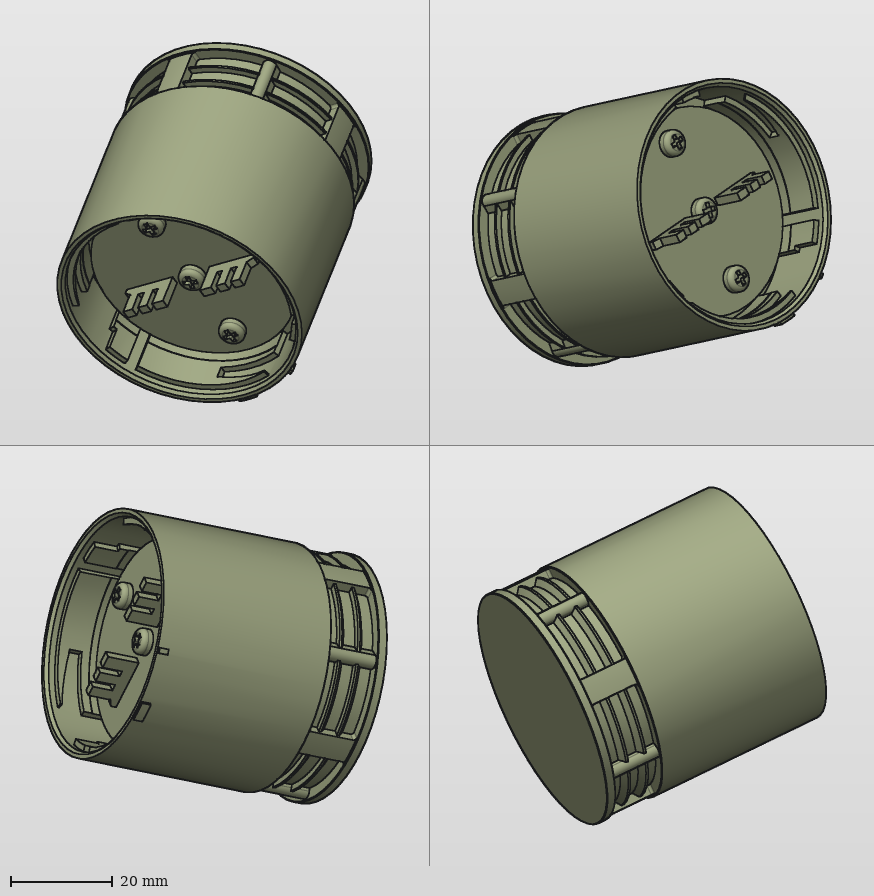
import cadquery as cq
import math

LENGTH = 50.0
OUTER_R = 25.0
CLOCKING = 33.2
EDGE_CHAMFER = 0.15

RIM_R = 24.15
RIM_TAPER_DEPTH = 0.75
CUP_R = 23.55
FLOOR_DEPTH = 9.85
FLOOR_DISC_R = 20.9
MOAT_DEPTH = 13.5

TAB_COUNT = 3
TAB_R = 22.3
TAB_BASE_R = 22.4
TAB_FRONT = 2.1
TAB_FOOT = 9.1
LONG_TAB_START = 6.0
LONG_TAB_END = 80.5
SHORT_TAB_START = 106.0
SHORT_TAB_END = 120.0
TAB_END_STEP = 2.3
GROOVE_MOUTH = 2.45
GROOVE_FRONT = 4.5
GROOVE_BACK = 7.2
GROOVE_ANGLE = 33.0

MARK_R = 25.6
MARK_SPANS = [(-28.0, -25.5), (-61.4, -52.0)]
MARK_FRONT = 0.15
MARK_LENGTH = 2.0

SLEEVE_LENGTH = 37.5
FLANGE_THICKNESS = 2.0
CAGE_CORE_R = 22.6
POST_COUNT = 4
WIDE_POST_R = 24.55
WIDE_POST_WIDTH = 5.45
POST_CORNER_R = 0.6
ROUND_POST_R = 1.45
ROUND_POST_CENTRE = 23.15
FLARE_TOP_RADIUS = 23.9
FLARE_TOP_OFFSET = 1.25
FLARE_FOOT_OFFSET = 2.3
RIB_R = 23.9
RIB_EDGE = 0.5
RIB_SLOPE = 1.05
RIB_FRONTS = [39.95, 44.0]

BLADE_START = 4.5
BLADE_END = 15.65
BLADE_THICKNESS = 1.7
PRONG_TIP = 3.0
NOTCH_DEPTH = 7.35
NOTCH_SPANS = [(7.2, 8.45), (10.6, 12.0)]
PRONG_END = 14.2
SHOULDER_DEPTH = 7.95
SHOULDER_END_DEPTH = 8.75

SCREW_OFFSET = 15.0
HEAD_R = 2.65
HEAD_HEIGHT = 2.3
HEAD_FLAT_R = 1.7
HEAD_SIDE = 1.1
CROSS_LENGTH = 3.0
CROSS_WIDTH = 0.85
CROSS_DEPTH = 1.0
CROSS_FILLET = 0.25
CROSS_TURNS = {-1: 37.0, 0: 22.0, 1: 37.0}


def plane_at(depth):
    """Workplane parallel to XZ at Y = depth; extrude with a negative length to go back."""
    return cq.Workplane("XZ", origin=(0, depth, 0))


def polar(radius, angle):
    turn = math.radians(angle)
    return (radius * math.cos(turn), radius * math.sin(turn))


def disc(radius, front, back):
    return plane_at(front).circle(radius).extrude(front - back)


def sector(inner_r, outer_r, start, end, front, back):
    """Ring segment between two radii, two angles and two depths."""
    middle = (start + end) / 2
    return (
        plane_at(front)
        .moveTo(*polar(inner_r, start))
        .lineTo(*polar(outer_r, start))
        .threePointArc(polar(outer_r, middle), polar(outer_r, end))
        .lineTo(*polar(inner_r, end))
        .threePointArc(polar(inner_r, middle), polar(inner_r, start))
        .close()
        .extrude(front - back)
    )


def turn_about_y(shape, angle):
    """Turn a shape so that +X moves toward +Z."""
    return shape.rotate((0, 0, 0), (0, 1, 0), -angle)


def revolve_about_y(points):
    """Revolve a (radius, depth) outline about the Y axis."""
    return cq.Workplane("XY").polyline(points).close().revolve(360, (0, 0, 0), (0, 1, 0))


def make_sleeve():
    sleeve = disc(OUTER_R, 0, SLEEVE_LENGTH).faces(">Y").edges().chamfer(EDGE_CHAMFER)
    cup = revolve_about_y([
        (0, 0),
        (RIM_R, 0),
        (CUP_R, RIM_TAPER_DEPTH),
        (CUP_R, MOAT_DEPTH),
        (FLOOR_DISC_R, MOAT_DEPTH),
        (FLOOR_DISC_R, FLOOR_DEPTH),
        (0, FLOOR_DEPTH),
    ])
    return sleeve.cut(cup)


def make_groove():
    """Bayonet groove cutter, open toward the end of the long tab."""
    middle = LONG_TAB_END - GROOVE_ANGLE / 2
    closed_side = -TAB_R * math.tan(math.radians(GROOVE_ANGLE / 2))
    mouth_side = TAB_R * math.tan(math.radians(GROOVE_ANGLE / 2 - TAB_END_STEP))
    open_side = -2 * closed_side
    groove = (
        cq.Workplane("YZ")
        .polyline([
            (GROOVE_BACK, closed_side),
            (GROOVE_FRONT, closed_side),
            (GROOVE_MOUTH, mouth_side),
            (GROOVE_MOUTH, open_side),
            (GROOVE_BACK, open_side),
        ])
        .close()
        .extrude(OUTER_R)
    )
    return turn_about_y(groove, middle)


def make_long_tab():
    overlap_r = (CUP_R + OUTER_R) / 2
    root = MOAT_DEPTH + 0.5
    front_end = LONG_TAB_END - TAB_END_STEP
    foot = sector(TAB_BASE_R, overlap_r, LONG_TAB_START, LONG_TAB_END, TAB_FOOT, root)
    back = sector(TAB_R, overlap_r, LONG_TAB_START, LONG_TAB_END, GROOVE_BACK, TAB_FOOT)
    front = sector(TAB_R, overlap_r, LONG_TAB_START, front_end, TAB_FRONT, GROOVE_BACK)
    return foot.union(back).union(front.cut(make_groove()))


def make_short_tab():
    overlap_r = (CUP_R + OUTER_R) / 2
    root = MOAT_DEPTH + 0.5
    front_start = SHORT_TAB_START + TAB_END_STEP
    foot = sector(TAB_BASE_R, overlap_r, SHORT_TAB_START, SHORT_TAB_END, TAB_FOOT, root)
    back = sector(TAB_R, overlap_r, SHORT_TAB_START, SHORT_TAB_END, GROOVE_BACK, TAB_FOOT)
    front = sector(TAB_R, overlap_r, front_start, SHORT_TAB_END, TAB_FRONT, GROOVE_BACK)
    return foot.union(back).union(front)


def make_wide_post():
    """Wide post on the +X side with parallel sides, filleted into the sleeve and the flange."""
    back = LENGTH - FLANGE_THICKNESS
    side = WIDE_POST_WIDTH / 2
    foot = side + POST_CORNER_R
    bend = POST_CORNER_R * (1 - math.sqrt(0.5))
    return (
        cq.Workplane("YZ")
        .moveTo(SLEEVE_LENGTH, -foot)
        .lineTo(SLEEVE_LENGTH, foot)
        .threePointArc((SLEEVE_LENGTH + bend, side + bend), (SLEEVE_LENGTH + POST_CORNER_R, side))
        .lineTo(back - POST_CORNER_R, side)
        .threePointArc((back - bend, side + bend), (back, foot))
        .lineTo(back, -foot)
        .threePointArc((back - bend, -side - bend), (back - POST_CORNER_R, -side))
        .lineTo(SLEEVE_LENGTH + POST_CORNER_R, -side)
        .threePointArc((SLEEVE_LENGTH + bend, -side - bend), (SLEEVE_LENGTH, -foot))
        .close()
        .extrude(OUTER_R)
        .intersect(disc(WIDE_POST_R, SLEEVE_LENGTH, back))
    )


def make_round_post(flare_side):
    """Round post on the +X side, with one flared side; flare_side is +1 or -1."""
    flange_front = LENGTH - FLANGE_THICKNESS
    height = SLEEVE_LENGTH - flange_front
    post = plane_at(SLEEVE_LENGTH).center(ROUND_POST_CENTRE, 0).circle(ROUND_POST_R).extrude(height)
    web = (
        plane_at(SLEEVE_LENGTH)
        .polyline([
            (CAGE_CORE_R - 0.5, -flare_side * ROUND_POST_R),
            (ROUND_POST_CENTRE, -flare_side * ROUND_POST_R),
            (FLARE_TOP_RADIUS, flare_side * FLARE_TOP_OFFSET),
            (CAGE_CORE_R, flare_side * FLARE_FOOT_OFFSET),
            (CAGE_CORE_R - 0.5, flare_side * FLARE_FOOT_OFFSET),
        ])
        .close()
        .extrude(height)
    )
    return post.union(web)


def make_cage():
    flange_front = LENGTH - FLANGE_THICKNESS
    cage = disc(CAGE_CORE_R, SLEEVE_LENGTH, flange_front)
    for front in RIB_FRONTS:
        cage = cage.union(revolve_about_y([
            (0, front),
            (RIB_R, front),
            (RIB_R, front + RIB_EDGE),
            (CAGE_CORE_R, front + RIB_EDGE + RIB_SLOPE),
            (0, front + RIB_EDGE + RIB_SLOPE),
        ]))
    wide_post = make_wide_post()
    post_pitch = 360 / POST_COUNT
    for index in range(POST_COUNT):
        angle = CLOCKING + index * post_pitch
        flare_side = -1 if index % 2 == 0 else 1
        cage = cage.union(turn_about_y(wide_post, angle))
        cage = cage.union(turn_about_y(make_round_post(flare_side), angle + post_pitch / 2))
    flange = disc(OUTER_R, flange_front, LENGTH).edges().chamfer(EDGE_CHAMFER)
    return cage.union(flange)


def make_housing():
    housing = make_sleeve().union(make_cage())
    for index in range(TAB_COUNT):
        angle = index * 360 / TAB_COUNT
        housing = housing.union(turn_about_y(make_long_tab(), angle))
        housing = housing.union(turn_about_y(make_short_tab(), angle))
    for start, end in MARK_SPANS:
        mark_back = MARK_FRONT + MARK_LENGTH
        housing = housing.union(sector(CUP_R + 1, MARK_R, start, end, MARK_FRONT, mark_back))
    return housing


def make_blade(angle):
    """Comb-shaped contact standing on the floor disc, pointing out at the given angle."""
    points = [(BLADE_START, FLOOR_DEPTH), (BLADE_START, PRONG_TIP)]
    for start, end in NOTCH_SPANS:
        points += [(start, PRONG_TIP), (start, NOTCH_DEPTH), (end, NOTCH_DEPTH), (end, PRONG_TIP)]
    points += [
        (PRONG_END, PRONG_TIP),
        (PRONG_END, SHOULDER_DEPTH),
        (BLADE_END, SHOULDER_END_DEPTH),
        (BLADE_END, FLOOR_DEPTH),
    ]
    blade = cq.Workplane("XY").polyline(points).close().extrude(BLADE_THICKNESS / 2, both=True)
    return turn_about_y(blade, angle)


def make_cross(top):
    """Cross recess cutter with rounded inner corners, sunk from the given depth."""
    arm = plane_at(top).rect(CROSS_LENGTH, CROSS_WIDTH).extrude(-CROSS_DEPTH)
    cross = arm.union(turn_about_y(arm, 90))
    inner_zone = cq.selectors.BoxSelector(
        (-CROSS_WIDTH, top - 0.5, -CROSS_WIDTH),
        (CROSS_WIDTH, top + CROSS_DEPTH + 0.5, CROSS_WIDTH),
    )
    return cross.edges("|Y").edges(inner_zone).fillet(CROSS_FILLET)


def make_screw(offset, cross_turn):
    """Domed screw head with a cross recess, placed along the line square to the blades."""
    top = FLOOR_DEPTH - HEAD_HEIGHT
    side = FLOOR_DEPTH - HEAD_SIDE
    bulge = math.sqrt(0.5)
    arc_middle = (
        HEAD_FLAT_R + (HEAD_R - HEAD_FLAT_R) * bulge,
        side - (side - top) * bulge,
    )
    head = (
        cq.Workplane("XY")
        .moveTo(0, FLOOR_DEPTH)
        .lineTo(HEAD_R, FLOOR_DEPTH)
        .lineTo(HEAD_R, side)
        .threePointArc(arc_middle, (HEAD_FLAT_R, top))
        .lineTo(0, top)
        .close()
        .revolve(360, (0, 0, 0), (0, 1, 0))
    )
    head = head.cut(turn_about_y(make_cross(top), cross_turn))
    x, z = polar(offset, CLOCKING + 90)
    return head.translate((x, 0, z))


housing = make_housing()
blades = [make_blade(CLOCKING + turn) for turn in (0, 180)]
screws = [make_screw(side * SCREW_OFFSET, turn) for side, turn in CROSS_TURNS.items()]

result = cq.Compound.makeCompound(
    [housing.val()]
    + [blade.val() for blade in blades]
    + [screw.val() for screw in screws]
)